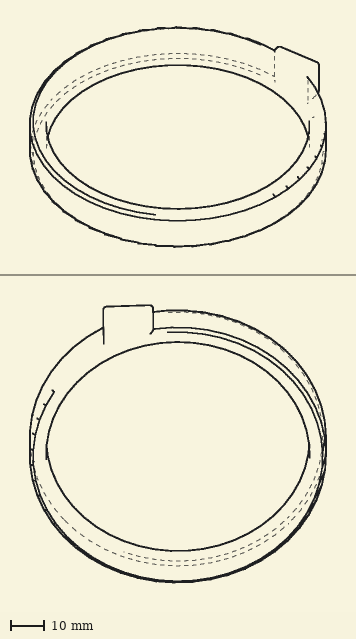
import cadquery as cq
import math

ring_height = 12.0
outer_radius = 89.0 / 2
bore_radius = 79.05 / 2
edge_fillet = 1.0

tab_turn = 27.0
tab_near_x = 5.7
tab_length = 15.0
tab_far_x = tab_near_x + tab_length
tab_reach = 46.6
tab_start = bore_radius / 2
tab_corner_fillet = 1.0
tab_root_fillet = 0.5


def upright_edge_at(x, y):
    """Selector for the vertical edge of the blank that stands at (x, y)."""
    return cq.selectors.NearestToPointSelector((x, y, ring_height / 2))


def tab_block():
    """Full-height block that stands out of the rim, with rounded outer corners."""
    return (
        cq.Workplane("XY")
        .box(tab_length, tab_reach - tab_start, ring_height, centered=False)
        .edges("|Z and >Y")
        .fillet(tab_corner_fillet)
        .translate((tab_near_x, tab_start, 0))
    )


def tabbed_disc():
    """Solid disc with its tab; the longer side of the tab is blended into the rim."""
    disc = cq.Workplane("XY").circle(outer_radius).extrude(ring_height)
    root_y = math.sqrt(outer_radius**2 - tab_far_x**2)
    blank = disc.union(tab_block())
    return blank.edges("|Z").edges(upright_edge_at(tab_far_x, root_y)).fillet(tab_root_fillet)


def build_ring():
    """Bored and turned disc with every top and bottom edge rounded."""
    bore = cq.Workplane("XY").circle(bore_radius).extrude(ring_height)
    ring = tabbed_disc().cut(bore).rotate((0, 0, 0), (0, 0, 1), tab_turn)
    return ring.faces("<Z or >Z").edges().fillet(edge_fillet)


ring = build_ring()

result = cq.Compound.makeCompound([ring.val()])